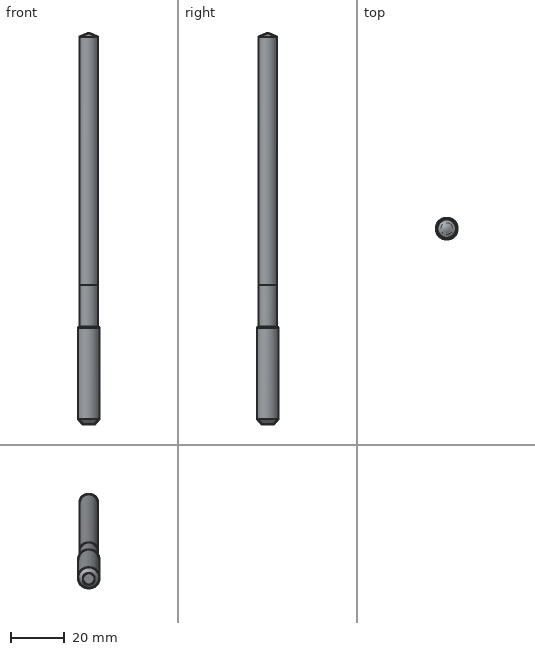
import cadquery as cq

TOTAL_LENGTH = 146
GRIP_DIAMETER = 8.0
NOSE_DIAMETER = 4.4
NOSE_HEIGHT = 2.0
SHOULDER_TOP = 36.5
ROD_DIAMETER = 7.0
SPLIT_HEIGHT = 52.0
TIP_HEIGHT = 1.5

SHOULDER_CHAMFER = (GRIP_DIAMETER - ROD_DIAMETER) / 2


def make_holder():
    """Grip with a tapered nose, a chamfered shoulder and a neck that carries the rod."""
    profile = [
        (0, 0),
        (NOSE_DIAMETER / 2, 0),
        (GRIP_DIAMETER / 2, NOSE_HEIGHT),
        (GRIP_DIAMETER / 2, SHOULDER_TOP - SHOULDER_CHAMFER),
        (ROD_DIAMETER / 2, SHOULDER_TOP),
        (ROD_DIAMETER / 2, SPLIT_HEIGHT),
        (0, SPLIT_HEIGHT),
    ]
    return cq.Workplane("XZ").polyline(profile).close().revolve(360, (0, 0), (0, 1))


def make_rod():
    """Straight rod above the neck, ending in a shallow conical point."""
    profile = [
        (0, SPLIT_HEIGHT),
        (ROD_DIAMETER / 2, SPLIT_HEIGHT),
        (ROD_DIAMETER / 2, TOTAL_LENGTH - TIP_HEIGHT),
        (0, TOTAL_LENGTH),
    ]
    return cq.Workplane("XZ").polyline(profile).close().revolve(360, (0, 0), (0, 1))


holder = make_holder()
rod = make_rod()

result = cq.Compound.makeCompound([holder.val(), rod.val()])